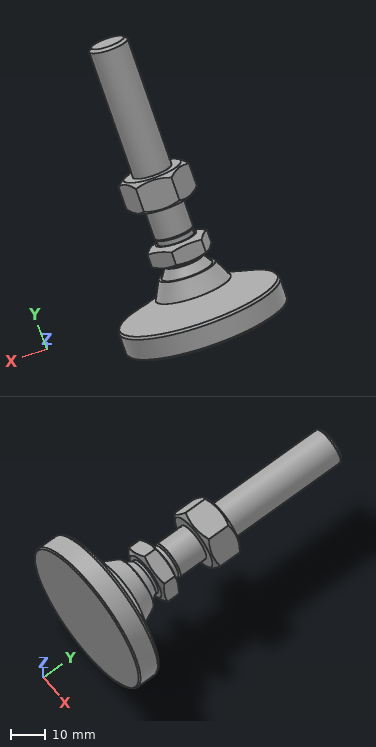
import cadquery as cq
import math

total_length = 91.0

pad_radius = 25.0
pad_edge_chamfer = 0.5
rim_height = 6.8
rim_shoulder_height = 7.6
rim_shoulder_radius = 24.6
skirt_top_height = 12.4
skirt_top_radius = 11.6
socket_top_height = 18.1
socket_top_radius = 8.8

stud_radius = 6.0
stud_tip_chamfer = 0.9
ball_cone_radius = 7.9
neck_height = 21.1
neck_radius = 5.9
relief_radius = 5.6
relief_end_height = 30.4
relief_taper_length = 0.55

collar_start = 22.0
collar_end = 28.3
collar_across_flats = 17.0
collar_turn = 40.0
collar_lower_face_radius = 7.5
collar_upper_face_radius = 6.3
collar_lower_bevel = 1.0
collar_upper_bevel = 1.2

nut_start = 39.9
nut_height = 10.0
nut_across_flats = 19.0
nut_face_radius = 8.9
nut_bevel = 1.4


def revolved(points):
    """Solid of revolution about Y from (radius, height) points."""
    return cq.Workplane("XY").polyline(points).close().revolve(360, (0, 0, 0), (0, 1, 0))


def bevelled_hexagon(start, end, across_flats, turn, lower_face, upper_face, lower_bevel, upper_bevel):
    """Hexagonal prism along Y with conically bevelled ends; turn is the corner angle from +X."""
    corner_radius = across_flats / math.sqrt(3)
    corners = []
    for index in range(6):
        angle = math.radians(turn + 60 * index)
        corners.append((corner_radius * math.cos(angle), corner_radius * math.sin(angle)))
    prism = (
        cq.Workplane("XZ", origin=(0, start, 0))
        .polyline(corners)
        .close()
        .extrude(start - end)
    )
    envelope = revolved([
        (0, start),
        (lower_face, start),
        (corner_radius, start + lower_bevel),
        (corner_radius, end - upper_bevel),
        (upper_face, end),
        (0, end),
    ])
    return prism.intersect(envelope)


turned_body = revolved([
    (0, 0),
    (pad_radius - pad_edge_chamfer, 0),
    (pad_radius, pad_edge_chamfer),
    (pad_radius, rim_height),
    (rim_shoulder_radius, rim_shoulder_height),
    (skirt_top_radius, skirt_top_height),
    (socket_top_radius, socket_top_height),
    (ball_cone_radius, socket_top_height),
    (neck_radius, neck_height),
    (neck_radius, collar_start),
    (relief_radius, collar_start),
    (relief_radius, relief_end_height - relief_taper_length),
    (stud_radius, relief_end_height),
    (stud_radius, total_length - stud_tip_chamfer),
    (stud_radius - stud_tip_chamfer, total_length),
    (0, total_length),
])

collar = bevelled_hexagon(
    collar_start, collar_end, collar_across_flats, collar_turn,
    collar_lower_face_radius, collar_upper_face_radius, collar_lower_bevel, collar_upper_bevel,
)

nut = bevelled_hexagon(
    nut_start, nut_start + nut_height, nut_across_flats, 0,
    nut_face_radius, nut_face_radius, nut_bevel, nut_bevel,
)

result = turned_body.union(collar).union(nut)